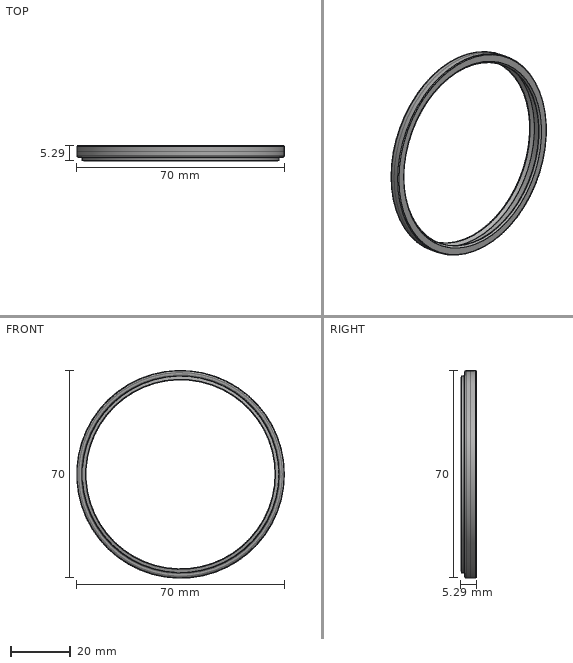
import cadquery as cq
import math

total_length = 5.29

parting_depth = 2.1
flange_length = 4.0
flange_radius = 69.98 / 2
back_rim_radius = 35.0
back_bevel_width = 0.25
back_bevel_length = 0.4
front_fillet = 0.7

spigot_radius = 33.2
root_fillet = 0.3
end_face_drop = 0.25

back_lip_radius = 31.85
back_lip_chamfer = 0.6
back_lip_end = 0.75
front_lip_radius = 32.0
front_lip_length = 0.3

groove_back_radius = 32.75
groove_front_radius = 33.0


def at(radius, depth):
    """Section point at a radius and a distance in front of the back face."""
    return (radius, -depth)


def ring_section():
    corner_share = 1 - math.sqrt(0.5)
    fillet_inset = front_fillet * corner_share
    root_inset = root_fillet * corner_share
    root_middle = at(spigot_radius + root_inset, flange_length + root_inset)
    fillet_middle = at(flange_radius - fillet_inset, flange_length - fillet_inset)
    front_lip_start = total_length - front_lip_length
    groove_back_depth = back_lip_end + groove_back_radius - back_lip_radius
    groove_front_depth = front_lip_start - (groove_front_radius - front_lip_radius)
    return (
        cq.Workplane("XY")
        .moveTo(*at(back_lip_radius + back_lip_chamfer, 0))
        .lineTo(*at(back_rim_radius - back_bevel_width, 0))
        .lineTo(*at(back_rim_radius, back_bevel_length))
        .lineTo(*at(flange_radius, parting_depth))
        .lineTo(*at(flange_radius, flange_length - front_fillet))
        .threePointArc(fillet_middle, at(flange_radius - front_fillet, flange_length))
        .lineTo(*at(spigot_radius + root_fillet, flange_length))
        .threePointArc(root_middle, at(spigot_radius, flange_length + root_fillet))
        .lineTo(*at(spigot_radius, total_length - end_face_drop))
        .lineTo(*at(front_lip_radius, total_length))
        .lineTo(*at(front_lip_radius, front_lip_start))
        .lineTo(*at(groove_front_radius, groove_front_depth))
        .lineTo(*at(groove_back_radius, groove_back_depth))
        .lineTo(*at(back_lip_radius, back_lip_end))
        .lineTo(*at(back_lip_radius, back_lip_chamfer))
        .close()
    )


result = ring_section().revolve(360, (0, 0, 0), (0, 1, 0))